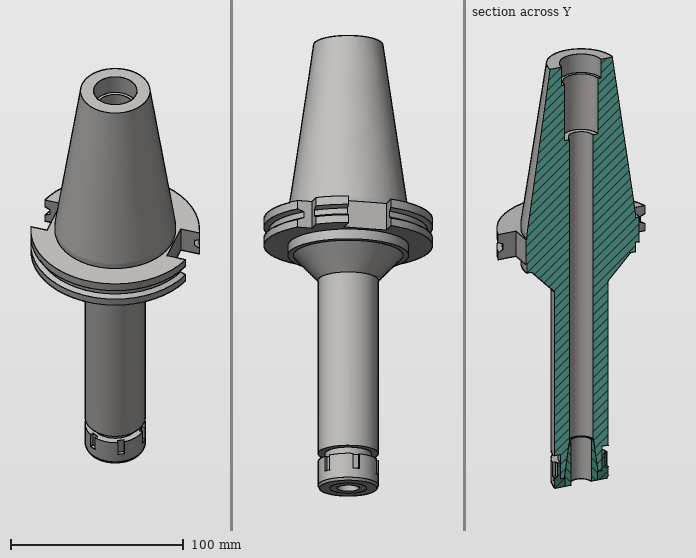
import cadquery as cq
import math

TOTAL_HEIGHT = 266.8
GAUGE_Z = 165.0
FLANGE_TOP_Z = 162.0
FLANGE_HEIGHT = 16.0
COLLAR_BOTTOM_Z = 140.0
SHANK_TOP_Z = 125.0
SHANK_BOTTOM_Z = 20.8
FLANGE_BOTTOM_Z = FLANGE_TOP_Z - FLANGE_HEIGHT

FLANGE_RADIUS = 48.8
TAPER_RADIUS = 35.0
TAPER_RATIO = 7 / 24
TAPER_TOP_RADIUS = TAPER_RADIUS - (TOTAL_HEIGHT - GAUGE_Z) * TAPER_RATIO / 2
CONE_TOP_RADIUS = 31.7
SHANK_DIAMETER = 35.0
SHANK_RADIUS = SHANK_DIAMETER / 2
NECK_DIAMETER = 27.0
NECK_RADIUS = NECK_DIAMETER / 2

GROOVE_RADIUS = 46.0
GROOVE_WIDTH = 6.5
GROOVE_FLOOR_WIDTH = 3.5
GROOVE_CENTRE_Z = FLANGE_TOP_Z - 8.3

DRIVE_SLOT_WIDTH = 25.3
LEFT_SLOT_FLOOR = 37.3
RIGHT_SLOT_FLOOR = 35.7
NOTCH_OFFSET = 30.0

COUNTERBORE_RADIUS = 12.5
COUNTERBORE_DEPTH = 11.7
DRAWBAR_RADIUS = 10.7
DRAWBAR_DEPTH = 47.0
BORE_RADIUS = 7.5

COLLET_RADIUS = 10.7
COLLET_BORE_RADIUS = 6.5
COLLET_CONE_HEIGHT = 21.3
COLLET_HALF_ANGLE = 8.0
COLLET_TOP_RADIUS = COLLET_RADIUS - COLLET_CONE_HEIGHT * math.tan(math.radians(COLLET_HALF_ANGLE))

NUT_RADIUS = SHANK_RADIUS
NUT_HEIGHT = 16.0
NUT_FLOOR = 5.3
NUT_CHAMFER_WIDTH = 0.8
NUT_CHAMFER_HEIGHT = 1.5
SPANNER_SLOTS = 6
SPANNER_SLOT_WIDTH = 3.7
SPANNER_SLOT_BOTTOM_Z = 7.2
SPANNER_SLOT_FLOOR = 15.5


def revolve(outline):
    """Turn a closed (radius, z) outline once around the Z axis."""
    return cq.Workplane("XZ").polyline(outline).close().revolve(360, (0, 0, 0), (0, 1, 0))


def cylinder(radius, bottom_z, top_z):
    return cq.Workplane("XY").workplane(offset=bottom_z).circle(radius).extrude(top_z - bottom_z)


def block(x_range, y_range, z_range):
    """A box between the given low and high limits on each axis."""
    size = [high - low for low, high in (x_range, y_range, z_range)]
    corner = (x_range[0], y_range[0], z_range[0])
    return cq.Workplane("XY").box(*size, centered=False).translate(corner)


def make_flange():
    """Grooved flange with two drive slots and an orientation notch."""
    half_groove = GROOVE_WIDTH / 2
    half_floor = GROOVE_FLOOR_WIDTH / 2
    flange = revolve([
        (0, FLANGE_BOTTOM_Z),
        (FLANGE_RADIUS, FLANGE_BOTTOM_Z),
        (FLANGE_RADIUS, GROOVE_CENTRE_Z - half_groove),
        (GROOVE_RADIUS, GROOVE_CENTRE_Z - half_floor),
        (GROOVE_RADIUS, GROOVE_CENTRE_Z + half_floor),
        (FLANGE_RADIUS, GROOVE_CENTRE_Z + half_groove),
        (FLANGE_RADIUS, FLANGE_TOP_Z),
        (0, FLANGE_TOP_Z),
    ])
    slot_y = (-DRIVE_SLOT_WIDTH / 2, DRIVE_SLOT_WIDTH / 2)
    flange_z = (FLANGE_BOTTOM_Z, FLANGE_TOP_Z)
    left_slot = block((-FLANGE_RADIUS, -LEFT_SLOT_FLOOR), slot_y, flange_z)
    right_slot = block((RIGHT_SLOT_FLOOR, FLANGE_RADIUS), slot_y, flange_z)
    notch = block((-FLANGE_RADIUS, -NOTCH_OFFSET), (NOTCH_OFFSET, FLANGE_RADIUS), flange_z)
    return flange.cut(left_slot).cut(right_slot).cut(notch)


def make_collet_cone():
    """Solid cone shared by the collet and its seat in the holder."""
    cone_top_z = NUT_FLOOR + COLLET_CONE_HEIGHT
    return revolve([
        (0, NUT_FLOOR),
        (COLLET_RADIUS, NUT_FLOOR),
        (COLLET_TOP_RADIUS, cone_top_z),
        (0, cone_top_z),
    ])


def make_holder():
    """Steep-taper shank, flange, cone, long shank and neck, bored through."""
    body = revolve([
        (0, NUT_FLOOR),
        (NECK_RADIUS, NUT_FLOOR),
        (NECK_RADIUS, SHANK_BOTTOM_Z),
        (SHANK_RADIUS, SHANK_BOTTOM_Z),
        (SHANK_RADIUS, SHANK_TOP_Z),
        (CONE_TOP_RADIUS, COLLAR_BOTTOM_Z),
        (TAPER_RADIUS, COLLAR_BOTTOM_Z),
        (TAPER_RADIUS, GAUGE_Z),
        (TAPER_TOP_RADIUS, TOTAL_HEIGHT),
        (0, TOTAL_HEIGHT),
    ])
    body = body.union(make_flange())
    counterbore = cylinder(COUNTERBORE_RADIUS, TOTAL_HEIGHT - COUNTERBORE_DEPTH, TOTAL_HEIGHT)
    drawbar_hole = cylinder(DRAWBAR_RADIUS, TOTAL_HEIGHT - DRAWBAR_DEPTH, TOTAL_HEIGHT)
    through_bore = cylinder(BORE_RADIUS, NUT_FLOOR, TOTAL_HEIGHT)
    return body.cut(counterbore).cut(drawbar_hole).cut(through_bore).cut(make_collet_cone())


def make_collet():
    """Bored collet: a cone in the holder and a straight end in the nut."""
    straight_end = cylinder(COLLET_RADIUS, 0, NUT_FLOOR)
    bore = cylinder(COLLET_BORE_RADIUS, 0, NUT_FLOOR + COLLET_CONE_HEIGHT)
    return make_collet_cone().union(straight_end).cut(bore)


def make_nut():
    """Chamfered cup nut with spanner slots open towards the shank."""
    nut = revolve([
        (COLLET_RADIUS, 0),
        (NUT_RADIUS - NUT_CHAMFER_WIDTH, 0),
        (NUT_RADIUS, NUT_CHAMFER_HEIGHT),
        (NUT_RADIUS, NUT_HEIGHT),
        (NECK_RADIUS, NUT_HEIGHT),
        (NECK_RADIUS, NUT_FLOOR),
        (COLLET_RADIUS, NUT_FLOOR),
    ])
    slot = block(
        (SPANNER_SLOT_FLOOR, NUT_RADIUS),
        (-SPANNER_SLOT_WIDTH / 2, SPANNER_SLOT_WIDTH / 2),
        (SPANNER_SLOT_BOTTOM_Z, NUT_HEIGHT),
    )
    for index in range(SPANNER_SLOTS):
        angle = index * 360 / SPANNER_SLOTS
        nut = nut.cut(slot.rotate((0, 0, 0), (0, 0, 1), angle))
    return nut


holder = make_holder()
collet = make_collet()
nut = make_nut()

result = cq.Compound.makeCompound([holder.val(), collet.val(), nut.val()])